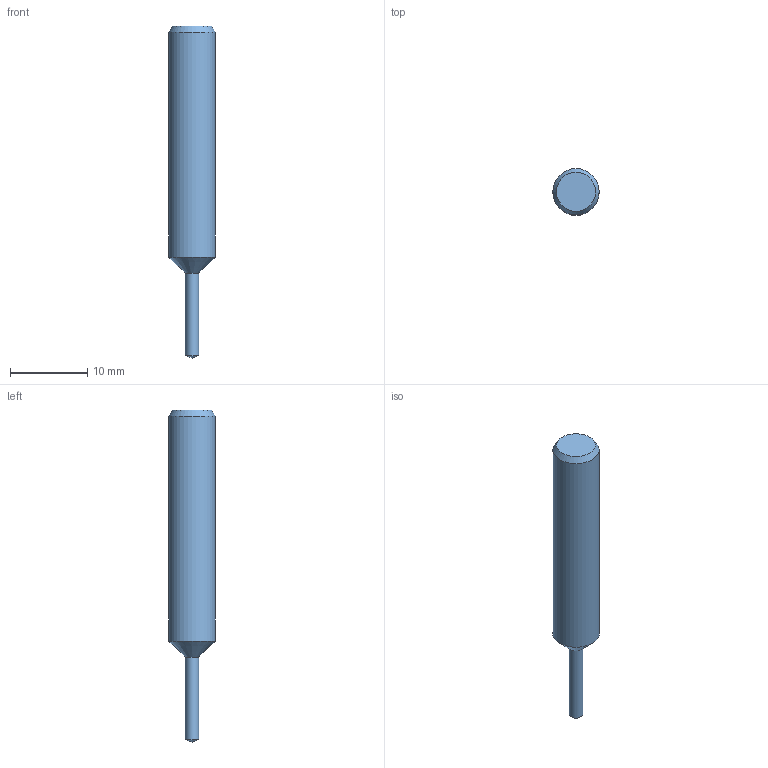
import cadquery as cq
import math

overall_length = 43.0
shank_diameter = 6.0
shank_length = 29.93
shank_chamfer_height = 0.8
shank_chamfer_angle = 30.0
drill_diameter = 1.76
drill_length = 11.0
point_angle = 140.0

shank_radius = shank_diameter / 2
drill_radius = drill_diameter / 2
shank_bottom = overall_length - shank_length
chamfer_bottom = overall_length - shank_chamfer_height
shank_top_radius = shank_radius - shank_chamfer_height * math.tan(math.radians(shank_chamfer_angle))
point_height = drill_radius / math.tan(math.radians(point_angle / 2))


def revolve_profile(points):
    """Turn a closed (radius, height) outline into a solid about the Z axis."""
    return cq.Workplane("XZ").polyline(points).close().revolve(360, (0, 0, 0), (0, 1, 0))


def make_shank():
    """Cylindrical shank, chamfered at the top, with a neck cone down to the drill diameter."""
    return revolve_profile([
        (0, drill_length),
        (drill_radius, drill_length),
        (shank_radius, shank_bottom),
        (shank_radius, chamfer_bottom),
        (shank_top_radius, overall_length),
        (0, overall_length),
    ])


def make_drill():
    """Thin drill rod with a conical point, meeting the small end of the neck cone."""
    return revolve_profile([
        (0, 0),
        (drill_radius, point_height),
        (drill_radius, drill_length),
        (0, drill_length),
    ])


shank = make_shank()
drill = make_drill()

result = cq.Compound.makeCompound([shank.val(), drill.val()])